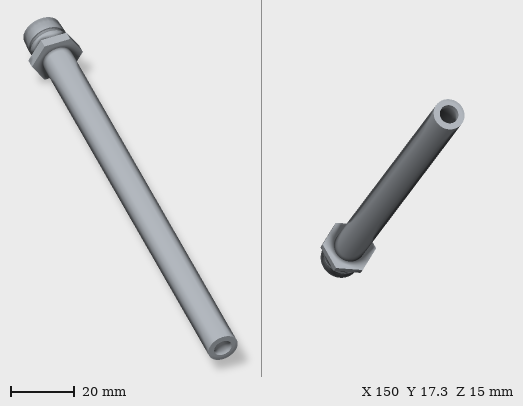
import cadquery as cq
import math

total_length = 150.0
bore_diameter = 6.0
tube_diameter = 10.0

plug_length = 10.0
plug_diameter = 13.0
plug_tip_diameter = 12.5
taper_length = 3.8

groove_start = 5.0
groove_floor_end = 5.8
groove_end = 6.5
groove_depth = 0.5

flange_thickness = 3.0
flange_across_flats = 15.0


def make_turned_body():
    """Plug and tube as one half-section in the XZ plane, revolved about the X axis."""
    bore_radius = bore_diameter / 2
    tube_radius = tube_diameter / 2
    plug_radius = plug_diameter / 2
    groove_radius = plug_radius - groove_depth
    outline = [
        (0, bore_radius),
        (0, plug_tip_diameter / 2),
        (taper_length, plug_radius),
        (groove_start, plug_radius),
        (groove_start, groove_radius),
        (groove_floor_end, groove_radius),
        (groove_end, plug_radius),
        (plug_length, plug_radius),
        (plug_length, tube_radius),
        (total_length, tube_radius),
        (total_length, bore_radius),
    ]
    return cq.Workplane("XZ").polyline(outline).close().revolve(360, (0, 0), (1, 0))


def make_hexagon_flange():
    """Hexagon plate around the body, pierced by the same bore."""
    across_corners = flange_across_flats / math.cos(math.pi / 6)
    return (
        cq.Workplane("YZ", origin=(plug_length, 0, 0))
        .polygon(6, across_corners)
        .circle(bore_diameter / 2)
        .extrude(flange_thickness)
    )


result = make_turned_body().union(make_hexagon_flange())